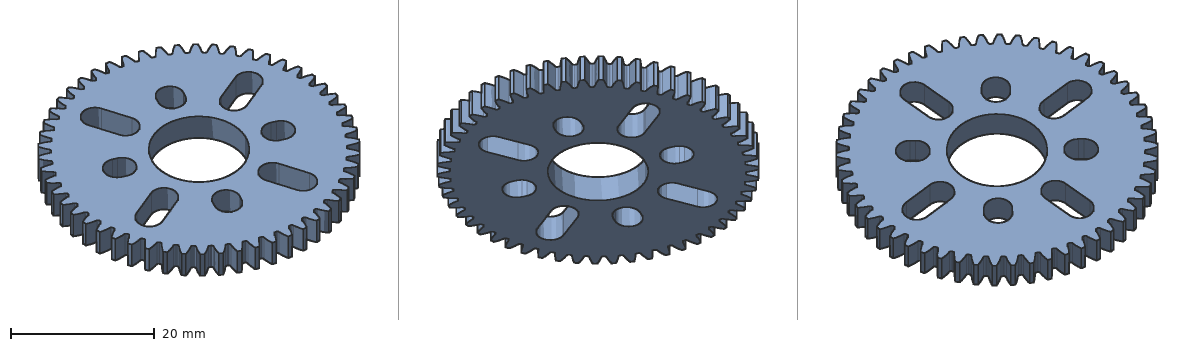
import cadquery as cq
import math

tooth_count = 54
tip_radius = 22.4
pressure_angle = math.radians(20)
thickness = 4.0

module = 2 * tip_radius / (tooth_count + 2)
pitch_radius = module * tooth_count / 2
base_radius = pitch_radius * math.cos(pressure_angle)
root_radius = pitch_radius - 1.25 * module
flank_samples = 4

root_fillet = 0.38 * module
fillet_center_radius = root_radius + root_fillet
fillet_line_length = math.sqrt(fillet_center_radius**2 - base_radius**2)
flank_start_radius = math.hypot(base_radius, fillet_line_length - root_fillet)

bore_diameter = 14.0
slot_width = 4.0
inner_center_radius = 11.35
long_slot_travel = 4.7
short_slot_travel = 0.75


def polar(radius, angle):
    return (radius * math.cos(angle), radius * math.sin(angle))


def involute(angle):
    return math.tan(angle) - angle


def half_tooth_angle(radius):
    """Half of the angle a tooth spans at the given radius."""
    local_pressure_angle = math.acos(base_radius / radius)
    half_at_pitch = math.pi / (2 * tooth_count)
    return half_at_pitch + involute(pressure_angle) - involute(local_pressure_angle)


def flank_radii():
    step = (tip_radius - flank_start_radius) / (flank_samples - 1)
    return [flank_start_radius + i * step for i in range(flank_samples)]


def gear_blank():
    pitch_angle = 2 * math.pi / tooth_count
    radii = flank_radii()
    half_at_start = half_tooth_angle(flank_start_radius)
    half_at_tip = half_tooth_angle(tip_radius)
    half_at_root = half_tooth_angle(fillet_center_radius) + root_fillet / base_radius

    outline = cq.Workplane("XY").moveTo(*polar(flank_start_radius, math.pi / 2 - half_at_start))
    for tooth in range(tooth_count):
        center = math.pi / 2 + tooth * pitch_angle
        next_center = center + pitch_angle
        rising = [polar(r, center - half_tooth_angle(r)) for r in radii]
        falling = [polar(r, center + half_tooth_angle(r)) for r in reversed(radii)]
        tip_middle = polar(tip_radius, center)
        tip_end = polar(tip_radius, center + half_at_tip)
        root_start = polar(root_radius, center + half_at_root)
        root_middle = polar(root_radius, center + pitch_angle / 2)
        root_end = polar(root_radius, next_center - half_at_root)
        next_flank = polar(flank_start_radius, next_center - half_at_start)

        outline = outline.spline(rising[1:], includeCurrent=True)
        outline = outline.threePointArc(tip_middle, tip_end)
        outline = outline.spline(falling[1:], includeCurrent=True)
        outline = outline.radiusArc(root_start, root_fillet)
        outline = outline.threePointArc(root_middle, root_end)
        outline = outline.radiusArc(next_flank, root_fillet)
    return outline.close().extrude(thickness)


def radial_slots(travel, first_angle):
    """Four radial through-slots, a quarter turn apart."""
    slot = (
        cq.Workplane("XY")
        .center(inner_center_radius + travel / 2, 0)
        .slot2D(travel + slot_width, slot_width)
        .extrude(thickness)
    )
    slots = cq.Workplane("XY")
    for quarter in range(4):
        slots = slots.add(slot.rotate((0, 0, 0), (0, 0, 1), first_angle + 90 * quarter))
    return slots.combine()


bore = cq.Workplane("XY").circle(bore_diameter / 2).extrude(thickness)

result = (
    gear_blank()
    .cut(bore)
    .cut(radial_slots(long_slot_travel, 0))
    .cut(radial_slots(short_slot_travel, 45))
)